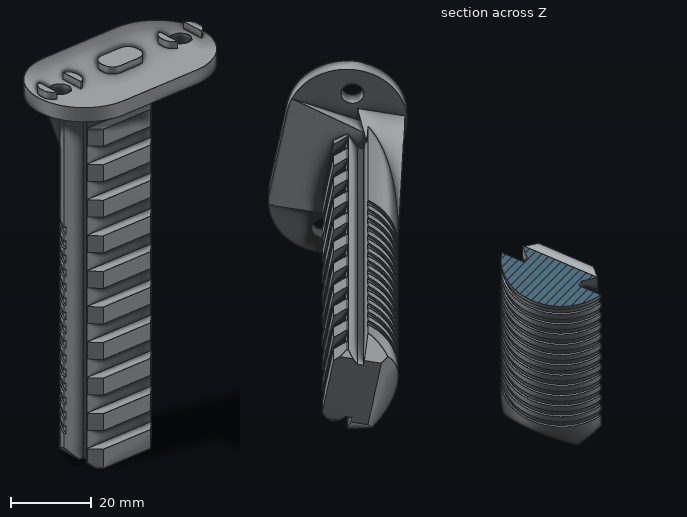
import cadquery as cq


plate_width = 30.0
plate_length = 54.0
plate_thickness = 4.0
post_height = 106.0
plate_radius = plate_width / 2
plate_center_x = plate_radius

hole_diameter = 5.6
hole_offset_y = 20.0
pad_width = 7.0
pad_length = 12.0
pad_height = 2.0
pad_corner_radius = 3.0
pad_clearance = 8.0

post_radius = plate_radius
post_flat_x = 10.0
tip_bevel_x = 5.7
tip_bevel_y = 5.0

groove_count = 15
groove_width = 2.0
groove_pitch = 4.0
groove_depth = 0.5
first_groove_z = 9.0

rail_neck_half_width = 7.8
rail_half_width = 10.6
rail_neck_length = 1.5
rail_edge_thickness = 0.4
rail_top_bevel = 2.8
rail_slot_depth = 3.0
rail_slot_width = 5.23
rail_slot_count = 10
rail_pitch = 10.0
first_slot_z = 5.4
rail_lower_bevel = rail_half_width - rail_neck_half_width
rail_edge_x = post_flat_x + rail_neck_length + rail_lower_bevel
rail_top_x = rail_edge_x + rail_edge_thickness + rail_top_bevel

side_brace_height = 40.0
side_brace_reach = 16.0
side_brace_outer_x = 1.0
side_brace_inner_x = 13.0

front_brace_height = 8.0
front_brace_reach = 29.5
front_brace_wall_half_width = rail_half_width
front_brace_tip_half_width = 15.8


def upright_box(x_range, y_range, z_range):
    """Box spanning the given (low, high) ranges."""
    lows, highs = zip(x_range, y_range, z_range)
    size = [high - low for low, high in zip(lows, highs)]
    return cq.Workplane("XY").box(*size, centered=False).translate(lows)


def make_plate():
    along_y = 90
    return (
        cq.Workplane("XY", origin=(plate_center_x, 0, post_height))
        .slot2D(plate_length, plate_width, along_y)
        .extrude(plate_thickness)
    )


def make_pad(center_y):
    """Rounded rectangular pad standing on the plate."""
    return (
        cq.Workplane("XY", origin=(plate_center_x, center_y, post_height + plate_thickness))
        .rect(pad_width, pad_length)
        .extrude(pad_height)
        .edges("|Z")
        .fillet(pad_corner_radius)
    )


def make_split_pad(center_y):
    """Pad reduced to its two rounded ends, clear of a screw hole."""
    clearance = (
        cq.Workplane("XY", origin=(plate_center_x, center_y, post_height + plate_thickness))
        .rect(pad_width, pad_clearance)
        .extrude(pad_height)
    )
    return make_pad(center_y).cut(clearance)


def make_screw_holes():
    return (
        cq.Workplane("XY", origin=(plate_center_x, 0, post_height))
        .pushPoints([(0, hole_offset_y), (0, -hole_offset_y)])
        .circle(hole_diameter / 2)
        .extrude(plate_thickness)
    )


def make_bar_slice(radius, bottom_z, height):
    """Part of a round bar about the plate centre line, outward of the post flat."""
    bar = cq.Workplane("XY", origin=(plate_center_x, 0, bottom_z)).circle(radius).extrude(height)
    keep = upright_box((0, post_flat_x), (-radius, radius), (bottom_z, bottom_z + height))
    return bar.intersect(keep)


def make_post():
    post = make_bar_slice(post_radius, 0, post_height)
    for index in range(groove_count):
        groove_z = first_groove_z + index * groove_pitch
        ring = make_bar_slice(post_radius, groove_z, groove_width)
        core = make_bar_slice(post_radius - groove_depth, groove_z, groove_width)
        post = post.cut(ring.cut(core))
    return post


def make_rail():
    half_profile = [
        (post_flat_x, rail_neck_half_width),
        (post_flat_x + rail_neck_length, rail_neck_half_width),
        (rail_edge_x, rail_half_width),
        (rail_edge_x + rail_edge_thickness, rail_half_width),
        (rail_top_x, rail_half_width - rail_top_bevel),
    ]
    mirrored_profile = [(x, -y) for x, y in reversed(half_profile)]
    rail = cq.Workplane("XY").polyline(half_profile + mirrored_profile).close().extrude(post_height)
    for index in range(rail_slot_count):
        slot_z = first_slot_z + index * rail_pitch
        slot = upright_box(
            (rail_top_x - rail_slot_depth, rail_top_x),
            (-rail_half_width, rail_half_width),
            (slot_z, slot_z + rail_slot_width),
        )
        rail = rail.cut(slot)
    return rail


def make_tip_bevels():
    """Corner material removed at the tip: 45 degree wedges on the outer wall and both Y sides."""
    outer_bevel = (
        cq.Workplane("XZ")
        .polyline([(0, 0), (tip_bevel_x, 0), (0, tip_bevel_x)])
        .close()
        .extrude(post_radius, both=True)
    )
    flat_half_width = (post_radius**2 - (plate_center_x - post_flat_x) ** 2) ** 0.5
    side_bevel = (
        cq.Workplane("YZ")
        .polyline([
            (flat_half_width - tip_bevel_y, 0),
            (post_radius, 0),
            (post_radius, post_radius - flat_half_width + tip_bevel_y),
        ])
        .close()
        .extrude(rail_top_x)
    )
    return outer_bevel.union(side_bevel).union(side_bevel.mirror("XZ"))


def make_side_brace():
    """Tetrahedron on the +Y side with one upright edge on the outer wall."""
    plan = (
        cq.Workplane("XY", origin=(0, 0, post_height - side_brace_height))
        .polyline([(0, 0), (side_brace_outer_x, side_brace_reach), (side_brace_inner_x, side_brace_reach)])
        .close()
        .extrude(side_brace_height)
    )
    slope = (
        cq.Workplane("YZ")
        .polyline([(0, post_height - side_brace_height), (side_brace_reach, post_height), (0, post_height)])
        .close()
        .extrude(side_brace_inner_x)
    )
    return plan.intersect(slope)


def make_front_brace():
    """Wedge widening and thinning from the outer wall toward the +X edge of the plate."""
    plan = (
        cq.Workplane("XY", origin=(0, 0, post_height - front_brace_height))
        .polyline([
            (0, -front_brace_wall_half_width),
            (front_brace_reach, -front_brace_tip_half_width),
            (front_brace_reach, front_brace_tip_half_width),
            (0, front_brace_wall_half_width),
        ])
        .close()
        .extrude(front_brace_height)
    )
    slope = (
        cq.Workplane("XZ")
        .polyline([(0, post_height - front_brace_height), (front_brace_reach, post_height), (0, post_height)])
        .close()
        .extrude(front_brace_tip_half_width, both=True)
    )
    beyond_flat = upright_box(
        (post_flat_x, front_brace_reach),
        (-front_brace_tip_half_width, front_brace_tip_half_width),
        (post_height - front_brace_height, post_height),
    )
    return plan.intersect(slope).intersect(beyond_flat)


side_brace = make_side_brace()

result = (
    make_post()
    .union(make_rail())
    .cut(make_tip_bevels())
    .union(side_brace)
    .union(side_brace.mirror("XZ"))
    .union(make_front_brace())
    .union(make_plate().cut(make_screw_holes()))
    .union(make_pad(0))
    .union(make_split_pad(hole_offset_y))
    .union(make_split_pad(-hole_offset_y))
)